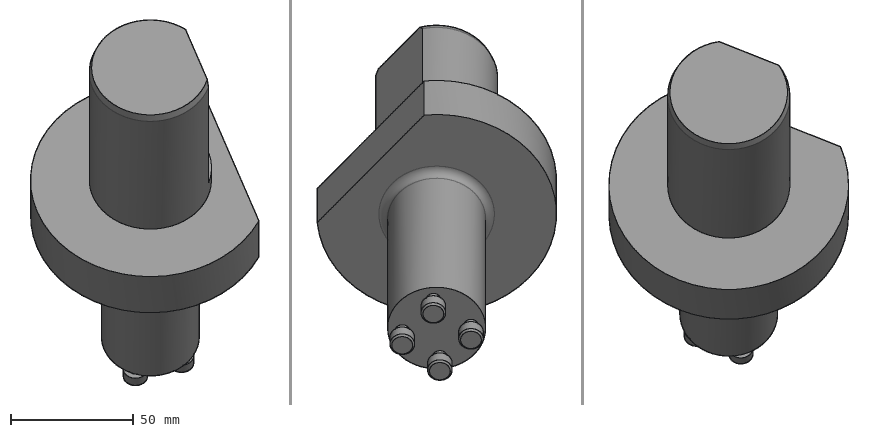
import cadquery as cq

total_height = 197.5

flange_diameter = 98.0
flange_thickness = 25.0
flange_flat_offset = 35.0

shank_diameter = 50.0
shank_length = 78.0
shank_flat_offset = 20.0
shank_flat_start = 8.3
shank_taper_height = 3.2
shank_taper_inset = 1.0

neck_diameter = 40.0
neck_fillet = 3.5

bolt_spacing = 20.0
bolt_diameter = 6.0
bolt_head_diameter = 10.0
bolt_head_height = 6.0
bolt_head_chamfer = 0.8
bolt_gap = 4.7

neck_bottom = bolt_head_height + bolt_gap
flange_top = total_height - shank_length
flange_bottom = flange_top - flange_thickness


def cylinder(diameter, bottom, top):
    """Cylinder on the Z axis between two levels."""
    return cq.Workplane("XY").workplane(offset=bottom).circle(diameter / 2).extrude(top - bottom)


def cut_back_flat(body, offset, bottom, top):
    """Remove everything beyond Y = offset between two levels."""
    cutter = cq.Workplane("XY").box(
        flange_diameter, flange_diameter, top - bottom, centered=(True, False, False)
    )
    return body.cut(cutter.translate((0, offset, bottom)))


def make_shank():
    """Round shank with a tapered end and a flat that stops short of the flange."""
    shank = cylinder(shank_diameter, flange_top, total_height)
    shank = shank.faces(">Z").edges().chamfer(shank_taper_height, shank_taper_inset)
    return cut_back_flat(shank, shank_flat_offset, flange_top + shank_flat_start, total_height)


def make_flange_and_neck():
    """Flange with one flat, blended into the round neck below it."""
    flange = cylinder(flange_diameter, flange_bottom, flange_top)
    flange = cut_back_flat(flange, flange_flat_offset, flange_bottom, flange_top)
    body = flange.union(cylinder(neck_diameter, neck_bottom, flange_bottom))
    inner_corner = cq.selectors.RadiusNthSelector(0)
    return body.faces("<Z[1]").edges("%CIRCLE").edges(inner_corner).fillet(neck_fillet)


def make_bolt():
    """Cap-head bolt hanging head down from the end of the neck."""
    head = cylinder(bolt_head_diameter, 0, bolt_head_height)
    head = head.faces("<Z").edges().chamfer(bolt_head_chamfer)
    return head.union(cylinder(bolt_diameter, bolt_head_height, neck_bottom))


result = make_flange_and_neck().union(make_shank())
for x_side in (-1, 1):
    for y_side in (-1, 1):
        bolt_position = (x_side * bolt_spacing / 2, y_side * bolt_spacing / 2, 0)
        result = result.union(make_bolt().translate(bolt_position))